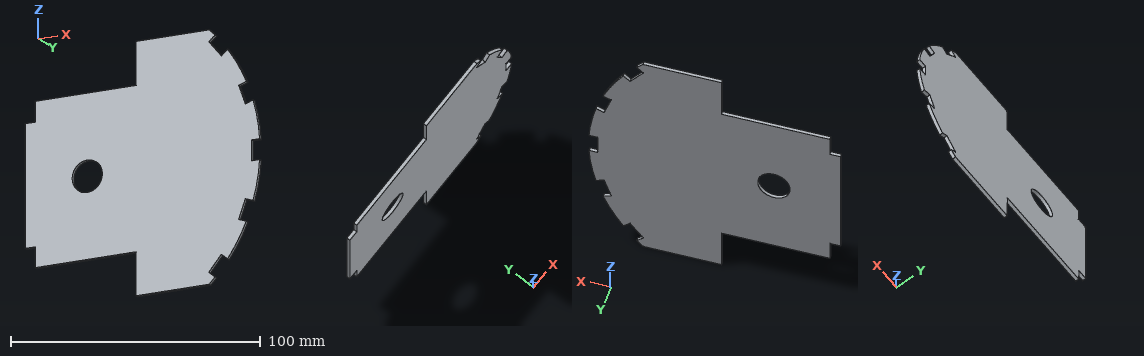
import cadquery as cq
import math

thickness = 1.6
total_length = 105.75
total_height = 107.0

tongue_length = 4.5
tongue_height = 52.5
head_start_x = 50.0
shank_height = 70.0

hole_diameter = 13.5
hole_x = 28.0

arc_radius = 74.0
notch_width = 8.7
notch_floor_radius = 70.2
notch_pitch_angle = 20.0
notches_per_side = 2

arc_center_x = total_length - math.sqrt(arc_radius**2 - (notch_width / 2) ** 2)


def make_slab(x_start, x_end, height):
    """Plate-thick rectangular slab between two X positions, centred on Z = 0."""
    length = x_end - x_start
    return cq.Workplane("XY").box(length, thickness, height).translate(((x_start + x_end) / 2, 0, 0))


def make_head():
    """Wide head whose +X edge is an arc trimmed by the top and bottom edges."""
    half_height = total_height / 2
    arc_end_x = arc_center_x + math.sqrt(arc_radius**2 - half_height**2)
    return (
        cq.Workplane("XZ", origin=(0, thickness / 2, 0))
        .moveTo(head_start_x, -half_height)
        .lineTo(arc_end_x, -half_height)
        .threePointArc((arc_center_x + arc_radius, 0), (arc_end_x, half_height))
        .lineTo(head_start_x, half_height)
        .close()
        .extrude(thickness)
    )


def make_notch(angle):
    """Cutter for one flat-bottomed notch, turned about the arc centre."""
    cutter_end_radius = arc_radius + notch_width
    cutter = make_slab(
        arc_center_x + notch_floor_radius, arc_center_x + cutter_end_radius, notch_width
    )
    return cutter.rotate((arc_center_x, 0, 0), (arc_center_x, 1, 0), angle)


def make_hole():
    """Cutter for the round hole through the shank."""
    return (
        cq.Workplane("XZ", origin=(hole_x, thickness / 2, 0))
        .circle(hole_diameter / 2)
        .extrude(thickness)
    )


tongue = make_slab(0, tongue_length, tongue_height)
shank = make_slab(tongue_length, head_start_x, shank_height)
result = make_head().union(shank).union(tongue).cut(make_hole())

for step in range(-notches_per_side, notches_per_side + 1):
    result = result.cut(make_notch(step * notch_pitch_angle))